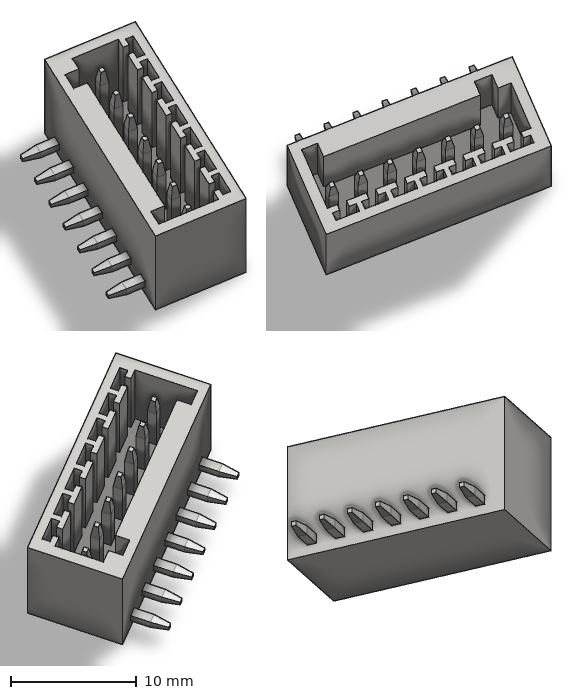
import cadquery as cq

housing_length = 19.4
housing_depth = 8.1
housing_height = 10.1
floor_thickness = 2.6

contact_count = 7
contact_pitch = 2.5
contact_width = 0.8
contact_tip_width = 0.4
contact_taper = 1.5
post_y = 4.02
post_top_gap = 1.26
tail_z = 1.3
tail_projection = 3.18

end_wall = 0.93
cavity_front_y = 2.0
cavity_back_y = 6.11

slot_front_y = 0.78
left_slot_start_x = 2.08
left_slot_width = 1.51
right_slot_width = 1.38

channel_neck_width = 0.8
channel_head_width = 2.04
channel_head_front_y = 6.63
channel_back_y = 7.31

cavity_right_x = housing_length - end_wall
left_slot_end_x = left_slot_start_x + left_slot_width
right_slot_start_x = cavity_right_x - right_slot_width
post_bottom_z = tail_z - contact_width / 2
post_top_z = housing_height - post_top_gap
first_contact_x = (housing_length - (contact_count - 1) * contact_pitch) / 2
contact_positions = [first_contact_x + i * contact_pitch for i in range(contact_count)]


def cavity_block(x_start, x_end, y_start, y_end):
    """Block that opens the housing from the floor up to the rim."""
    block = cq.Workplane("XY").box(
        x_end - x_start, y_end - y_start, housing_height - floor_thickness, centered=False
    )
    return block.translate((x_start, y_start, floor_thickness))


def make_channel(x):
    """T-shaped channel: a narrow neck leading back to a wider head."""
    half_neck = channel_neck_width / 2
    half_head = channel_head_width / 2
    neck = cavity_block(x - half_neck, x + half_neck, cavity_back_y, channel_head_front_y)
    head = cavity_block(x - half_head, x + half_head, channel_head_front_y, channel_back_y)
    return neck.union(head)


def make_prong(plane, root, length):
    """Square bar from the root point along the plane normal, tapered at its free end."""
    straight_length = length - contact_taper
    bar = (
        cq.Workplane(plane, origin=root)
        .rect(contact_width, contact_width)
        .extrude(straight_length)
    )
    tip = (
        cq.Workplane(plane, origin=root)
        .workplane(offset=straight_length)
        .rect(contact_width, contact_width)
        .workplane(offset=contact_taper)
        .rect(contact_tip_width, contact_tip_width)
        .loft(ruled=True)
    )
    return bar.union(tip)


def make_contact(x):
    """Right-angle contact: a post up into the cavity and a tail out through the front face."""
    post = make_prong("XY", (x, post_y, post_bottom_z), post_top_z - post_bottom_z)
    tail = make_prong("XZ", (x, post_y, tail_z), post_y + tail_projection)
    return post.union(tail)


def make_housing():
    """Box with the mating cavity, the polarising slots and the T-shaped channels."""
    body = cq.Workplane("XY").box(housing_length, housing_depth, housing_height, centered=False)
    body = body.cut(cavity_block(end_wall, cavity_right_x, cavity_front_y, cavity_back_y))
    body = body.cut(cavity_block(left_slot_start_x, left_slot_end_x, slot_front_y, cavity_front_y))
    body = body.cut(cavity_block(right_slot_start_x, cavity_right_x, slot_front_y, cavity_front_y))
    for x in contact_positions:
        body = body.cut(make_channel(x))
    return body


housing = make_housing().union(make_contact(contact_positions[0]))
contacts = [make_contact(x) for x in contact_positions[1:]]
for contact in contacts:
    housing = housing.cut(contact)

contact_solids = [contact.solids().val() for contact in contacts]
result = cq.Compound.makeCompound([housing.solids().val(), *contact_solids])